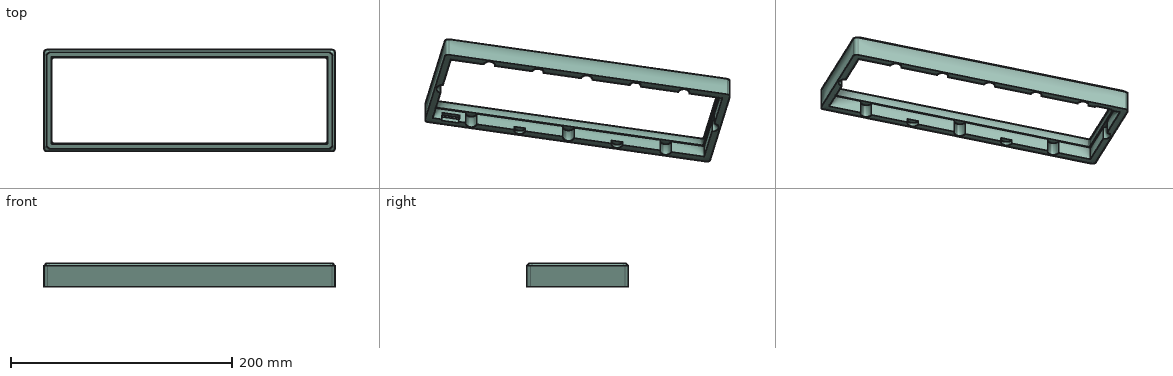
import cadquery as cq

length = 263.6
width = 92.3
height = 21.5
corner_radius = 3.2
top_bevel = 2.6

rim_width = 7.5
rim_corner_radius = 1.5
opening_bevel = 0.8

cavity_wall = 6.3
cavity_height = 12.7
cavity_x = length / 2 - cavity_wall
cavity_y = width / 2 - cavity_wall

pocket_chord = 10.3
pocket_depth = 4.7
short_pocket_height = 3.7
long_wall_pockets = 5
outer_pocket_x = 90.0
pocket_pitch = 2 * outer_pocket_x / (long_wall_pockets - 1)

recess_length = 15.8
lower_recess_right = -101.2
lower_recess_depth = 1.5
lower_recess_height = 4.5
lower_recess_radius = 1.5 / 2
upper_recess_right = -100.7
upper_recess_depth = 3.2
upper_recess_top = 8.2


def block(size_x, size_y, size_z):
    """Block centred in X and Y that stands on the bottom plane."""
    return cq.Workplane("XY").box(size_x, size_y, size_z, centered=(True, True, False))


def rounded_section(inset, radius, level):
    """Rounded rectangle, set in from the outer sides, at the given level."""
    outline = cq.Sketch().rect(length - 2 * inset, width - 2 * inset).vertices().fillet(radius)
    return outline.moved(cq.Location(cq.Vector(0, 0, level)))


def beveled_prism(lower_inset, upper_inset, radius, bevel):
    """Full-height prism whose top stretch runs from the lower to the upper inset."""
    shoulder = height - bevel
    lower_section = rounded_section(lower_inset, radius, 0)
    shoulder_section = rounded_section(lower_inset, radius, shoulder)
    top_section = rounded_section(upper_inset, radius, height)
    straight = cq.Workplane("XY").placeSketch(lower_section).extrude(shoulder)
    slanted = cq.Workplane("XY").placeSketch(shoulder_section, top_section).loft()
    return straight.union(slanted)


def make_frame():
    body = beveled_prism(0, top_bevel, corner_radius, top_bevel)
    opening = beveled_prism(rim_width, rim_width - opening_bevel, rim_corner_radius, opening_bevel)
    cavity = block(2 * cavity_x, 2 * cavity_y, cavity_height)
    return body.cut(opening).cut(cavity)


def make_pocket(x, y, turn, pocket_height):
    """Arc-shaped cutter at a wall point; turn points it into the wall."""
    cutter = (
        cq.Workplane("XY")
        .moveTo(-pocket_chord / 2, 0)
        .threePointArc((0, pocket_depth), (pocket_chord / 2, 0))
        .close()
        .extrude(pocket_height)
    )
    return cutter.rotate((0, 0, 0), (0, 0, 1), turn).translate((x, y, 0))


def recess_block(right, depth, bottom, top):
    """Cutter reaching into the +Y cavity wall, ending at the given right side."""
    cutter = block(recess_length, 2 * depth, top - bottom)
    return cutter.translate((right - recess_length / 2, cavity_y, bottom))


def make_recess():
    lower = recess_block(lower_recess_right, lower_recess_depth, 0, lower_recess_height)
    lower = lower.edges("|Z").fillet(lower_recess_radius)
    upper = recess_block(upper_recess_right, upper_recess_depth, lower_recess_height, upper_recess_top)
    return lower.union(upper)


result = make_frame()

for index in range(long_wall_pockets):
    pocket_x = index * pocket_pitch - outer_pocket_x
    pocket_height = cavity_height if index % 2 == 0 else short_pocket_height
    result = result.cut(make_pocket(pocket_x, cavity_y, 0, pocket_height))
    result = result.cut(make_pocket(pocket_x, -cavity_y, 180, pocket_height))

result = result.cut(make_pocket(cavity_x, 0, -90, cavity_height))
result = result.cut(make_pocket(-cavity_x, 0, 90, cavity_height))

result = result.cut(make_recess())